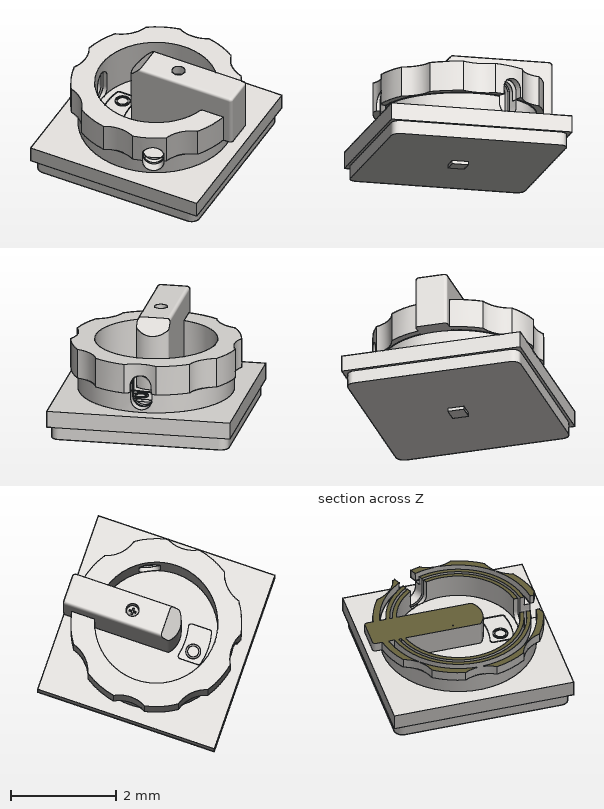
import cadquery as cq
import math

tab_top = 0.065
base_top = 0.32
plate_top = 0.637
floor_top = 0.745
neck_top = 1.025
knob_bottom = 1.04
knob_top = 1.615
handle_top = 2.1

plate_side = 3.54
base_side = 3.425
base_corner_radius = 0.17
tab_side = 0.32

neck_radius = 1.487
knob_radius = 1.62
pocket_radius = 1.168
scallop_count = 8
scallop_radius = 0.64
scallop_floor_radius = 1.51

sleeve_radius = 1.253
tube_inner_radius = 1.295
tube_outer_radius = 1.38
gap_top = 1.415

slot_width = 0.407
slot_bottom = 0.69
slot_top = 1.377
slot_angles = (180, 180 + 115)

handle_width = 0.63
handle_tip_radius = 0.475
handle_end_x = plate_side / 2
handle_corner_radius = 0.053
handle_edge_radius = 0.065
tip_slope_height = 0.283

screw_x = 0.475
screw_radius = 0.125
screw_bore_depth = 0.212
screw_dome_height = 0.09
screw_cross_length = 0.13
screw_cross_width = 0.03
screw_cross_depth = 0.035

recess_outer_x = -1.04
recess_inner_x = -0.58
recess_side_inset = 0.05
recess_height = 0.708
recess_corner_radius = 0.053
recess_depth = 0.018
ring_center = (-0.79, 0.14, 0)
ring_outer_radius = 0.14
ring_inner_radius = 0.105


def cylinder(radius, bottom, top):
    """Upright cylinder on the Z axis."""
    return cq.Workplane("XY").workplane(offset=bottom).circle(radius).extrude(top - bottom)


def ring(inner_radius, outer_radius, bottom, top):
    """Upright tube on the Z axis."""
    return cylinder(outer_radius, bottom, top).cut(cylinder(inner_radius, bottom, top))


def square_block(side, bottom, top):
    """Square block centred on the Z axis."""
    return cq.Workplane("XY").workplane(offset=bottom).rect(side, side).extrude(top - bottom)


def mounting_plate():
    """Plate with the rounded base and the small tab below it."""
    tab = square_block(tab_side, 0, tab_top)
    base = square_block(base_side, tab_top, base_top).edges("|Z").fillet(base_corner_radius)
    plate = square_block(plate_side, base_top, plate_top)
    return plate.union(base).union(tab)


def knob():
    """Neck and scalloped knob, hollowed by the pocket and the two inner gaps."""
    neck = cylinder(neck_radius, plate_top, knob_bottom)
    scallops = (
        cq.Workplane("XY")
        .workplane(offset=knob_bottom)
        .polarArray(scallop_floor_radius + scallop_radius, 0, 360, scallop_count)
        .circle(scallop_radius)
        .extrude(knob_top - knob_bottom)
    )
    grip = cylinder(knob_radius, knob_bottom, knob_top).cut(scallops)
    inner_gap = ring(sleeve_radius, tube_inner_radius, plate_top, gap_top)
    outer_gap = ring(tube_outer_radius, neck_radius, neck_top, gap_top)
    pocket = cylinder(pocket_radius, floor_top, knob_top)
    return grip.union(neck).cut(inner_gap).cut(outer_gap).cut(pocket)


def padlock_slots():
    """Upright round-ended slots that reach from the pocket wall outwards."""
    slot = (
        cq.Workplane("YZ")
        .center(0, (slot_bottom + slot_top) / 2)
        .slot2D(slot_top - slot_bottom, slot_width, 90)
        .extrude(knob_radius)
        .cut(cylinder(pocket_radius, slot_bottom, slot_top))
    )
    slots = cq.Workplane("XY")
    for angle in slot_angles:
        slots = slots.union(slot.rotate((0, 0, 0), (0, 0, 1), angle))
    return slots


def screw_cavity():
    """Bore over a domed screw head with a cross recess."""
    bore_bottom = handle_top - screw_bore_depth
    dome_top = bore_bottom + screw_dome_height
    bore = cylinder(screw_radius, bore_bottom, handle_top)
    dome_radius = (screw_radius**2 + screw_dome_height**2) / (2 * screw_dome_height)
    dome = cq.Workplane("XY").sphere(dome_radius).translate((0, 0, dome_top - dome_radius))
    cross = (
        cq.Workplane("XY")
        .workplane(offset=dome_top - screw_cross_depth)
        .rect(screw_cross_length, screw_cross_width)
        .extrude(screw_cross_depth)
    )
    cross = cross.union(cross.rotate((0, 0, 0), (0, 0, 1), 90))
    return bore.cut(dome).union(cross).translate((screw_x, 0, 0))


def handle_bar(bottom, top):
    """Straight bar with an arc-shaped tip whose two corners are rounded."""
    half_width = handle_width / 2
    tip_corner_x = -math.sqrt(handle_tip_radius**2 - half_width**2)
    return (
        cq.Workplane("XY")
        .workplane(offset=bottom)
        .moveTo(tip_corner_x, -half_width)
        .lineTo(handle_end_x, -half_width)
        .lineTo(handle_end_x, half_width)
        .lineTo(tip_corner_x, half_width)
        .threePointArc((-handle_tip_radius, 0), (tip_corner_x, -half_width))
        .close()
        .extrude(top - bottom)
        .edges("|Z")
        .edges("<X")
        .fillet(handle_corner_radius)
    )


def handle():
    """Bar over the knob out to the plate edge, with a sloped tip and a foot in the pocket."""
    slope = (
        cq.Workplane("XZ")
        .moveTo(-handle_tip_radius, handle_top - tip_slope_height)
        .lineTo(-handle_tip_radius + tip_slope_height, handle_top)
        .lineTo(-handle_tip_radius, handle_top)
        .close()
        .extrude(handle_width / 2, both=True)
    )
    bar = handle_bar(knob_bottom, handle_top).cut(slope)
    end_and_top_edges = "(>X and |Z) or (>Z and |X) or (>X and >Z)"
    bar = bar.edges(end_and_top_edges).fillet(handle_edge_radius)
    pocket_base = cylinder(pocket_radius, floor_top, knob_bottom)
    foot = handle_bar(floor_top, knob_bottom).intersect(pocket_base)
    return bar.union(foot)


def lock_recess():
    """Shallow recess between two bowed sides, around a ring left standing."""
    half_height = recess_height / 2
    outer_corner_x = recess_outer_x + recess_side_inset
    inner_corner_x = recess_inner_x + recess_side_inset
    recess_bottom = floor_top - recess_depth
    recess = (
        cq.Workplane("XY")
        .workplane(offset=recess_bottom)
        .moveTo(inner_corner_x, -half_height)
        .threePointArc((recess_inner_x, 0), (inner_corner_x, half_height))
        .lineTo(outer_corner_x, half_height)
        .threePointArc((recess_outer_x, 0), (outer_corner_x, -half_height))
        .close()
        .extrude(recess_depth)
        .edges("|Z")
        .fillet(recess_corner_radius)
    )
    standing_ring = ring(ring_inner_radius, ring_outer_radius, recess_bottom, floor_top)
    return recess.cut(standing_ring.translate(ring_center))


body = mounting_plate().union(knob()).cut(padlock_slots()).cut(lock_recess())
result = body.union(handle()).cut(screw_cavity())